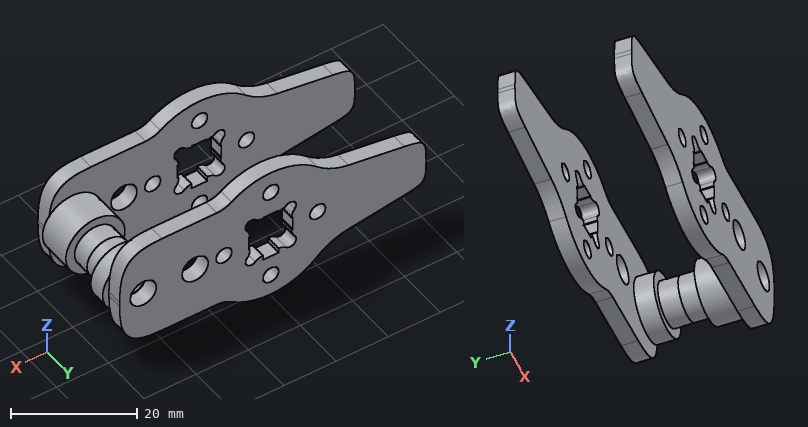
import cadquery as cq
import math


overall_length = 59.95
overall_width = 23.0
plate_thickness = 3.0
roller_x = 24.45
flange_diameter = 11.35
plate_gap = overall_width - 2 * plate_thickness
tail_x = roller_x + flange_diameter / 2 - overall_length

hub_radius = 13.25
head_x = 29.0
head_half_height = 10.0
head_blend_radius = 5.0
head_corner_length = 8.15
head_corner_height = 9.6
head_corner_fullness = 0.77
tail_half_height = 4.7
taper_angle = 8.8
tail_blend_radius = 11.7
tail_corner_reach = 4.25
tail_corner_fullness = 0.92

screw_hole_diameter = 3.0
screw_circle_radius = 9.0
axle_hole_diameter = 5.0
spare_axle_hole_x = 14.5

lobe_offset = 3.7
lobe_radius = 1.15
bulge_reach = 4.0
bulge_offset = 1.5
notch_reach = 4.2
notch_width = 2.6
keyway_reach = 4.9
keyway_width = 3.0

core_diameter = 8.0
roller_clearance = 0.1
front_flange_width = 6.55
front_core_width = 3.5
rear_core_width = 3.5


def toward(start, end, fraction):
    """Point at a fraction of the way from start to end."""
    return tuple(a + fraction * (b - a) for a, b in zip(start, end))


def corner_curve(start, corner, end, fullness):
    """Control points of a smooth corner rounding; a higher fullness hugs the corner more."""
    return [start, toward(start, corner, fullness), toward(end, corner, fullness), end]


def arc_middle(center, radius, start, end):
    """Point of the shorter arc from start to end that lies halfway along it."""
    chord_middle = toward(start, end, 0.5)
    return toward(center, chord_middle, radius / math.dist(center, chord_middle))


def plate_outline():
    """Closed plate outline: the upper half, mirrored about the X axis."""
    slope = math.radians(taper_angle)
    along = (math.cos(slope), math.sin(slope))
    normal = (-math.sin(slope), math.cos(slope))

    tail_corner = (tail_x, tail_half_height)
    tail_end = (tail_x, tail_half_height - tail_corner_reach)
    taper_start = tuple(c + tail_corner_reach * a for c, a in zip(tail_corner, along))

    edge_distance = tail_x * normal[0] + tail_half_height * normal[1]
    center_height = edge_distance + tail_blend_radius
    center_shift = -math.sqrt((hub_radius + tail_blend_radius) ** 2 - center_height ** 2)
    tail_center = tuple(center_shift * a + center_height * n for a, n in zip(along, normal))
    taper_end = tuple(c - tail_blend_radius * n for c, n in zip(tail_center, normal))
    hub_start = toward((0, 0), tail_center, hub_radius / (hub_radius + tail_blend_radius))
    tail_blend_middle = arc_middle(tail_center, tail_blend_radius, taper_end, hub_start)

    head_center_z = head_half_height + head_blend_radius
    head_center_x = math.sqrt((hub_radius + head_blend_radius) ** 2 - head_center_z ** 2)
    head_center = (head_center_x, head_center_z)
    hub_end = toward((0, 0), head_center, hub_radius / (hub_radius + head_blend_radius))
    head_start = (head_center_x, head_half_height)
    head_blend_middle = arc_middle(head_center, head_blend_radius, hub_end, head_start)

    head_corner = (head_x, head_half_height)
    head_edge_end = (head_x - head_corner_length, head_half_height)
    head_end = (head_x, head_half_height - head_corner_height)

    return (
        cq.Workplane("XZ")
        .moveTo(tail_x, 0)
        .lineTo(*tail_end)
        .bezier(corner_curve(tail_end, tail_corner, taper_start, tail_corner_fullness))
        .lineTo(*taper_end)
        .threePointArc(tail_blend_middle, hub_start)
        .threePointArc((0, hub_radius), hub_end)
        .threePointArc(head_blend_middle, head_start)
        .lineTo(*head_edge_end)
        .bezier(corner_curve(head_edge_end, head_corner, head_end, head_corner_fullness))
        .lineTo(head_x, 0)
        .mirrorX()
    )


def opening_bulge():
    """Centre and radius of the upper inward bulge on the +X side of the hub opening."""
    lobe_depth = lobe_offset - bulge_reach
    lobe_rise = lobe_offset - bulge_offset
    center_gap_squared = lobe_depth ** 2 + lobe_rise ** 2
    bulge_radius = (center_gap_squared - lobe_radius ** 2) / (2 * (lobe_depth + lobe_radius))
    bulge_center = (bulge_reach + bulge_radius, bulge_offset)
    return bulge_center, bulge_radius


def hub_opening(depth):
    """Cutter for the four-lobed hub opening with its notches and keyway."""
    bulge_center, bulge_radius = opening_bulge()
    lobe_center = (lobe_offset, lobe_offset)
    touch = toward(bulge_center, lobe_center, bulge_radius / (bulge_radius + lobe_radius))
    notch_half = notch_width / 2
    crest_drop = math.sqrt(bulge_radius ** 2 - (bulge_offset - notch_half) ** 2)
    notch_corner = (bulge_center[0] - crest_drop, notch_half)
    bulge_middle = arc_middle(bulge_center, bulge_radius, notch_corner, touch)
    lobe_tip = tuple(c + lobe_radius * math.sqrt(0.5) for c in lobe_center)

    def turned(point, turns):
        x, z = point
        for _ in range(turns):
            x, z = -z, x
        return (x, z)

    def swapped(point):
        return (point[1], point[0])

    outline = cq.Workplane("XZ").moveTo(notch_reach, -notch_half)
    for quarter in range(4):
        outline = (
            outline.lineTo(*turned((notch_reach, notch_half), quarter))
            .lineTo(*turned(notch_corner, quarter))
            .threePointArc(turned(bulge_middle, quarter), turned(touch, quarter))
            .threePointArc(turned(lobe_tip, quarter), turned(swapped(touch), quarter))
            .threePointArc(turned(swapped(bulge_middle), quarter), turned(swapped(notch_corner), quarter))
            .lineTo(*turned((notch_half, notch_reach), quarter))
        )
    opening = outline.close().extrude(depth)
    keyway = (
        cq.Workplane("XZ")
        .center(0, -keyway_reach / 2)
        .rect(keyway_width, keyway_reach)
        .extrude(depth)
    )
    return opening.union(keyway)


def make_plate(front_y):
    """Side plate whose front face lies at the given Y."""
    plate = plate_outline().extrude(plate_thickness).clean()
    screw_holes = (
        cq.Workplane("XZ")
        .polarArray(screw_circle_radius, 0, 360, 4)
        .circle(screw_hole_diameter / 2)
        .extrude(plate_thickness)
    )
    axle_holes = (
        cq.Workplane("XZ")
        .pushPoints([(spare_axle_hole_x, 0), (roller_x, 0)])
        .circle(axle_hole_diameter / 2)
        .extrude(plate_thickness)
    )
    plate = plate.cut(screw_holes).cut(axle_holes).cut(hub_opening(plate_thickness))
    return plate.translate((0, front_y + plate_thickness, 0))


def make_roller_half(outer_y, flange_width, core_width, direction):
    """Bored roller half: flange from outer_y, then core, toward +Y or -Y as direction is 1 or -1."""
    base = cq.Workplane("XZ", origin=(roller_x, outer_y, 0))
    full_width = flange_width + core_width
    flange = base.circle(flange_diameter / 2).extrude(-direction * flange_width)
    core = base.circle(core_diameter / 2).extrude(-direction * full_width)
    bore = base.circle(axle_hole_diameter / 2).extrude(-direction * full_width)
    return flange.union(core).cut(bore)


plates = [make_plate(-overall_width / 2), make_plate(overall_width / 2 - plate_thickness)]

rear_flange_width = plate_gap - roller_clearance - front_flange_width - front_core_width - rear_core_width
front_roller_half = make_roller_half(-plate_gap / 2, front_flange_width, front_core_width, 1)
rear_roller_half = make_roller_half(plate_gap / 2 - roller_clearance, rear_flange_width, rear_core_width, -1)

result = cq.Compound.makeCompound(
    [plate.val() for plate in plates] + [front_roller_half.val(), rear_roller_half.val()]
)